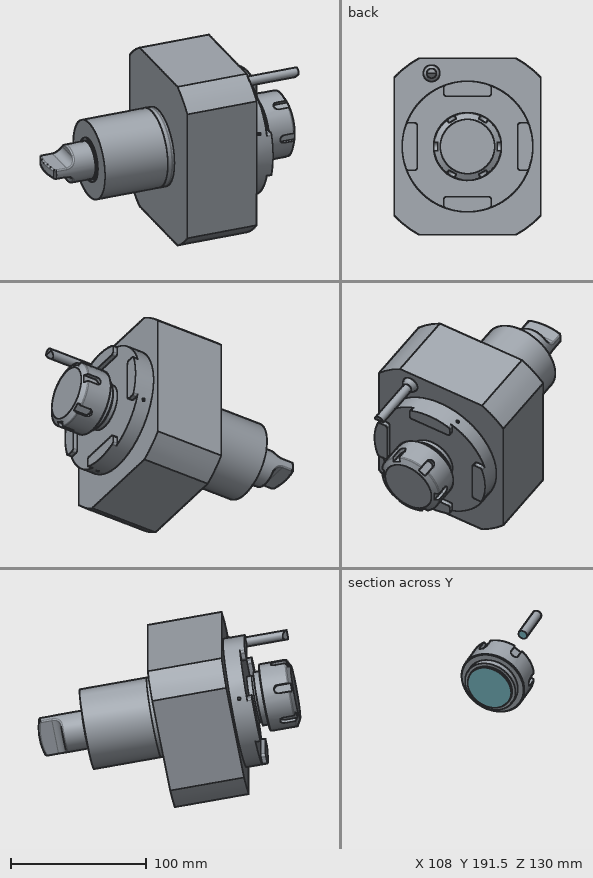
import cadquery as cq
import math


overall_length = 191.5
edge_margin = 0.2

body_width = 108.0
body_height = 130.0
body_depth = 55.3
body_corner_radius = 74.0

shank_diameter = 59.7
shank_length = 55.5
collar_diameter = 60.0
collar_start = 1.7
collar_end = 5.4
collar_bevel_length = 0.5
ring_diameter = 33.3
ring_lip_diameter = 29.5
ring_step = 0.5

shaft_diameter = 28.5
shaft_reach = 91.0
tip_corner_reach = 89.2
tip_corner_bevel = 1.5
tang_thickness = 7.7
tang_root_radius = 6.3
shoulder_reach = 73.1
tang_edge_round = 1.1

flange_diameter = 96.0
flange_thickness = 12.0
lug_height = 3.6
lug_width = 34.8
lug_inner_distance = 37.0
lug_corner_radius = 4.0 / 2
lug_count = 4
flange_hole_count = 4
flange_hole_diameter = 2.1
flange_hole_depth = 2.0
flange_hole_offset = 6.3
flange_hole_first_angle = 22.5

spindle_ring_diameter = 35.2
spindle_groove_diameter = 34.8
neck_diameter = 40.0
neck_start = body_depth + 17.5

nut_diameter = 50.0
nut_start = body_depth + 22.2
nut_end = overall_length - shaft_reach
nut_face_diameter = 40.0
nut_cone_angle = 30
nut_shoulder_round = 1.0
nut_back_chamfer = 0.5
nut_slot_count = 6
nut_slot_width = 6.3
nut_slot_floor_radius = 21.8
nut_slot_length = 13.8

pipe_x = 26.5
pipe_z = 53.8
pipe_diameter = 7.0
pipe_end = 99.3
pipe_seat_diameter = 12.3
pipe_seat_sink = 0.5


def along_y(start, end):
    """Workplane at y = start with sketch axes X and Z, and the extrusion that reaches y = end."""
    plane = cq.Plane(origin=(0, start, 0), xDir=(1, 0, 0), normal=(0, -1, 0))
    return cq.Workplane(plane), start - end


def disc(diameter, start, end):
    plane, distance = along_y(start, end)
    return plane.circle(diameter / 2).extrude(distance)


def turned_by(solid, angle):
    return solid.rotate((0, 0, 0), (0, 1, 0), angle)


def make_body():
    plane, distance = along_y(0, body_depth)
    block = plane.rect(body_width, body_height).extrude(distance)
    return block.intersect(disc(2 * body_corner_radius, 0, body_depth))


def make_shank():
    shank = disc(shank_diameter, 0, -shank_length)
    collar_step = (collar_diameter - shank_diameter) / 2
    collar = disc(collar_diameter, -collar_start, -collar_end)
    collar = collar.faces(">Y").chamfer(collar_bevel_length, collar_step)
    ring_end = -shank_length - ring_step
    ring = disc(ring_diameter, -shank_length, ring_end)
    lip = disc(ring_lip_diameter, ring_end, ring_end - ring_step)
    return shank.union(collar).union(ring).union(lip)


def make_drive_shaft():
    radius = shaft_diameter / 2
    tip_chord = radius - tip_corner_bevel
    outline = (
        cq.Workplane("XY")
        .moveTo(radius, 0)
        .lineTo(radius, -tip_corner_reach + tip_corner_bevel)
        .lineTo(tip_chord, -tip_corner_reach)
        .threePointArc((0, -shaft_reach), (-tip_chord, -tip_corner_reach))
        .lineTo(-radius, -tip_corner_reach + tip_corner_bevel)
        .lineTo(-radius, 0)
        .close()
        .extrude(radius, both=True)
    )
    shaft = disc(shaft_diameter, 0, -shaft_reach).intersect(outline)

    half_tang = tang_thickness / 2
    root_top = half_tang + tang_root_radius
    root_end = -shoulder_reach - tang_root_radius
    root_mid_shift = tang_root_radius * math.sqrt(0.5)
    pocket = (
        cq.Workplane("YZ")
        .moveTo(-shoulder_reach, shaft_diameter)
        .lineTo(-shoulder_reach, root_top)
        .threePointArc((root_end + root_mid_shift, root_top - root_mid_shift), (root_end, half_tang))
        .lineTo(-shaft_reach, half_tang)
        .lineTo(-shaft_reach, shaft_diameter)
        .close()
        .extrude(shaft_diameter, both=True)
    )
    shaft = shaft.cut(pocket).cut(pocket.mirror("XY"))

    upper_rim = cq.selectors.BoxSelector(
        (-radius, -shoulder_reach + edge_margin, half_tang - edge_margin),
        (radius, -shaft_reach, radius),
    )
    lower_rim = cq.selectors.BoxSelector(
        (-radius, -shoulder_reach + edge_margin, -half_tang + edge_margin),
        (radius, -shaft_reach, -radius),
    )
    return shaft.edges(upper_rim + lower_rim).edges("not |X").fillet(tang_edge_round)


def make_flange():
    flange_face = body_depth + flange_thickness
    lug_top = flange_face + lug_height
    flange = disc(flange_diameter, body_depth, lug_top)

    plane, distance = along_y(flange_face, lug_top)
    lug_depth = flange_diameter - lug_inner_distance
    lug_block = plane.center(lug_inner_distance + lug_depth / 2, 0).rect(lug_depth, lug_width)
    lug_block = lug_block.extrude(distance)
    recess = disc(2 * flange_diameter, flange_face, lug_top)
    for index in range(lug_count):
        recess = recess.cut(turned_by(lug_block, index * 360 / lug_count))
    lug_band = cq.selectors.BoxSelector(
        (-flange_diameter, flange_face, -flange_diameter), (flange_diameter, lug_top, flange_diameter)
    )
    flange = flange.cut(recess).edges(lug_band).edges("|Y").fillet(lug_corner_radius)

    hole = (
        cq.Workplane("YZ", origin=(flange_diameter / 2 - flange_hole_depth, 0, 0))
        .center(body_depth + flange_hole_offset, 0)
        .circle(flange_hole_diameter / 2)
        .extrude(2 * flange_hole_depth)
    )
    for index in range(flange_hole_count):
        angle = index * 360 / flange_hole_count - flange_hole_first_angle
        flange = flange.cut(turned_by(hole, angle))
    return flange


def make_spindle_nose():
    flange_face = body_depth + flange_thickness
    ring = disc(spindle_ring_diameter, flange_face, flange_face + lug_height)
    groove = disc(spindle_groove_diameter, flange_face, neck_start)
    neck = disc(neck_diameter, neck_start, nut_start)
    return ring.union(groove).union(neck)


def make_nut():
    radius = nut_diameter / 2
    face_radius = nut_face_diameter / 2
    shoulder = nut_end - (radius - face_radius) * math.tan(math.radians(nut_cone_angle))
    nut = (
        cq.Workplane("XY")
        .moveTo(0, nut_start)
        .lineTo(radius - nut_back_chamfer, nut_start)
        .lineTo(radius, nut_start + nut_back_chamfer)
        .lineTo(radius, shoulder)
        .lineTo(face_radius, nut_end)
        .lineTo(0, nut_end)
        .close()
        .revolve(360, (0, 0, 0), (0, 1, 0))
    )
    shoulder_edge = cq.selectors.BoxSelector(
        (-radius, shoulder - edge_margin, -radius), (radius, shoulder + edge_margin, radius)
    )
    nut = nut.edges(shoulder_edge).fillet(nut_shoulder_round)

    slot_round_y = nut_end - nut_slot_length + nut_slot_width / 2
    slot_floor = cq.Workplane("YZ", origin=(nut_slot_floor_radius, 0, 0)).center(slot_round_y, 0)
    slot_end = slot_floor.circle(nut_slot_width / 2).extrude(radius)
    slot_run = (
        slot_floor.center(nut_slot_length / 2, 0)
        .rect(nut_slot_length, nut_slot_width)
        .extrude(radius)
    )
    slot = slot_end.union(slot_run)
    for index in range(nut_slot_count):
        nut = nut.cut(turned_by(slot, index * 360 / nut_slot_count))
    return nut


def make_pipe():
    pipe = disc(pipe_diameter, body_depth, pipe_end).translate((pipe_x, 0, pipe_z))
    radius = pipe_diameter / 2
    tip_cut = (
        cq.Workplane("YZ", origin=(pipe_x, 0, 0))
        .moveTo(pipe_end, pipe_z)
        .lineTo(pipe_end - radius, pipe_z - radius)
        .lineTo(pipe_end, pipe_z - radius)
        .close()
        .extrude(radius, both=True)
    )
    seat = cq.Workplane("XY").sphere(pipe_seat_diameter / 2)
    seat = seat.translate((pipe_x, body_depth - pipe_seat_sink, pipe_z))
    return pipe.cut(tip_cut).union(seat)


result = (
    make_body()
    .union(make_shank())
    .union(make_drive_shaft())
    .union(make_flange())
    .union(make_spindle_nose())
    .union(make_nut())
    .union(make_pipe())
)